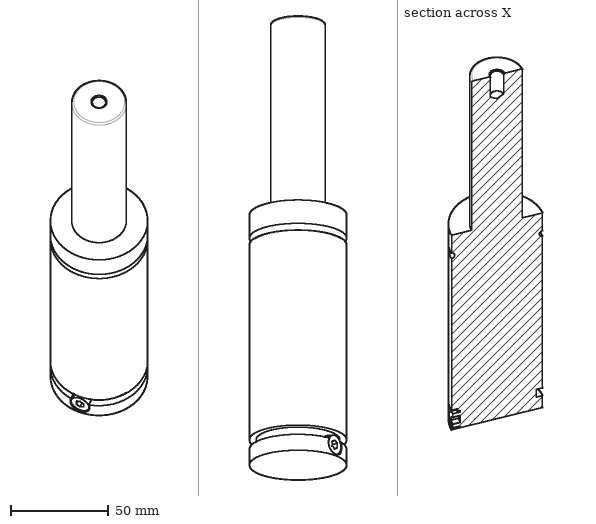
import cadquery as cq
import math

total_height = 238.0
body_diameter = 50.0
body_height = 135.0

rod_diameter = 28.0
rod_edge_radius = 1.0
bore_diameter = 7.0
bore_mouth_diameter = 8.0
bore_depth = 14.3
drill_point_angle = 118.0

collar_height = 12.5
ring_groove_width = 3.5

foot_height = 8.5
foot_groove_width = 5.0
foot_groove_diameter = 43.0

seat_diameter = 11.0
seat_depth = 4.8
plug_diameter = 10.0
plug_recess = 0.7
plug_center_height = 6.2
socket_across_flats = 4.0
socket_depth = 4.0

body_radius = body_diameter / 2
rod_radius = rod_diameter / 2


def make_turned_body():
    """Revolve the half outline of the body, its two grooves and the rod."""
    groove_radius = foot_groove_diameter / 2
    foot_groove_top = foot_height + foot_groove_width
    ring_radius = ring_groove_width / 2
    ring_top = body_height - collar_height
    ring_bottom = ring_top - ring_groove_width
    outline = (
        cq.Workplane("XZ")
        .moveTo(0, 0)
        .lineTo(body_radius, 0)
        .lineTo(body_radius, foot_height)
        .lineTo(groove_radius, foot_height)
        .lineTo(groove_radius, foot_groove_top)
        .lineTo(body_radius, foot_groove_top)
        .lineTo(body_radius, ring_bottom)
        .threePointArc((body_radius - ring_radius, ring_bottom + ring_radius), (body_radius, ring_top))
        .lineTo(body_radius, body_height)
        .lineTo(rod_radius, body_height)
        .lineTo(rod_radius, total_height - rod_edge_radius)
        .tangentArcPoint((rod_radius - rod_edge_radius, total_height), relative=False)
        .lineTo(0, total_height)
        .close()
    )
    return outline.revolve(360, (0, 0, 0), (0, 1, 0))


def make_rod_bore():
    """Blind bore with a 45 degree countersunk mouth and a conical drill point."""
    bore_radius = bore_diameter / 2
    mouth_radius = bore_mouth_diameter / 2
    countersink_depth = mouth_radius - bore_radius
    point_depth = bore_radius / math.tan(math.radians(drill_point_angle / 2))
    bore_bottom = total_height - bore_depth
    outline = (
        cq.Workplane("XZ")
        .moveTo(0, total_height)
        .lineTo(mouth_radius, total_height)
        .lineTo(bore_radius, total_height - countersink_depth)
        .lineTo(bore_radius, bore_bottom)
        .lineTo(0, bore_bottom - point_depth)
        .close()
    )
    return outline.revolve(360, (0, 0, 0), (0, 1, 0))


def plug_plane(recess):
    """Plane across the plug axis, set back from the front of the body and facing -Y."""
    return cq.Workplane("XZ", origin=(0, recess - body_radius, plug_center_height))


def make_seat():
    """Flat-bottomed round hole, leaving a narrow ring gap around the plug."""
    return plug_plane(0).circle(seat_diameter / 2).extrude(-seat_depth)


def make_plug():
    """Round plug rising from the seat floor, with its upper part crossing the foot groove."""
    return plug_plane(plug_recess).circle(plug_diameter / 2).extrude(plug_recess - seat_depth)


def make_socket():
    """Hexagonal key socket with two of its corners pointing up and down."""
    corner_diameter = socket_across_flats / math.cos(math.pi / 6)
    return (
        plug_plane(plug_recess)
        .transformed(rotate=(0, 0, 90))
        .polygon(6, corner_diameter)
        .extrude(-socket_depth)
    )


result = (
    make_turned_body()
    .cut(make_rod_bore())
    .cut(make_seat())
    .union(make_plug())
    .cut(make_socket())
)